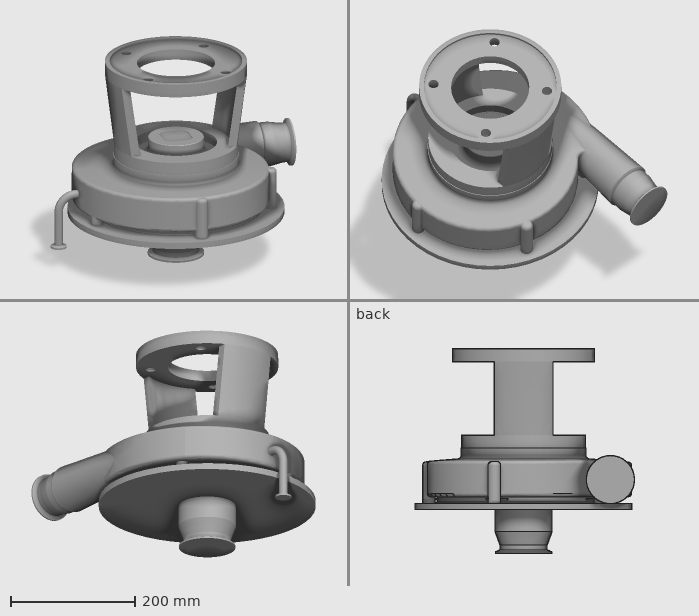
import cadquery as cq
import math

FULL_TURN = 360.0
QUARTER_ARC_INSET = 1 - math.sqrt(0.5)

PLATE_RADIUS = 175.0
PLATE_THICKNESS = 10.0

BACK_RADIUS = 174.0
BACK_START_ANGLE = 158.5
BACK_END_ANGLE = 219.5
FRONT_MIDDLE = (162.4, 283.0)
FRONT_END = (155.3, 360.0)
CUTWATER_MIDDLE = (151.0, 70.0)
CUTWATER_START = (142.0, 137.0)
CUTWATER_DIP = (-112.0, 93.5)
CUTWATER_END = (-121.0, 102.5)
CASING_BOTTOM_Z = 20.6
CASING_EDGE_FILLET = 5.5

CONE_INNER_RADIUS = 104.0
CONE_INNER_Z = 82.0
CONE_SLOPE = 0.083
CONE_OUTER_RADIUS = 200.0

POST_COUNT = 5
POST_RADIUS = 10.0
POST_CIRCLE_RADIUS = 152.5
TALL_POST_COUNT = 2
POST_TOP_DROP = 0.5
SHORT_POST_TOP_Z = 24.0

SPACER_RADIUS = 139.0
SPACER_LIP_RADIUS = 141.0
SPACER_LIP_TOP_Z = 12.3
PAD_WIDTH = 36.0
PAD_REACH = 141.0
PAD_DEPTH = 12.0
PAD_BOTTOM_Z = 15.4
PAD_TOP_Z = 18.0

COLLAR_RADIUS = 101.0
COLLAR_FLARE_Z = 88.0
COLLAR_FLARE = 5.0
COLLAR_TOP_Z = 99.5
SPIGOT_TOP_Z = 103.3

BOSS_RADIUS = 45.0
BOSS_TOP_Z = 130.0
BOSS_ROOT_FILLET = 9.3
BOSS_CHAMFER = 1.0
SOCKET_WIDTH = 48.0
SOCKET_CORNER_RADIUS = 14.0
SOCKET_DEPTH = 1.0

LANTERN_RADIUS = 100.0
LANTERN_RING_TOP_Z = 120.0
LANTERN_BORE_RADIUS = 66.3
FLANGE_BORE_RADIUS = 63.0
LEG_WIDTH = 95.0
LEG_THICKNESS = 12.5
FLANGE_RADIUS = 114.7
FLANGE_BOTTOM_Z = 238.0
FLANGE_TOP_Z = 259.5
RECESS_RADIUS = 107.0
RECESS_DEPTH = 4.0
BOLT_RADIUS = 8.2
BOLT_CIRCLE_RADIUS = 91.7
BOLT_COUNT = 4
BOLT_START_ANGLE = 45.0

SUCTION_RADIUS = 46.3
SUCTION_STRAIGHT_Z = -35.0
SUCTION_NECK_RADIUS = 38.2
SUCTION_NECK_TOP_Z = -57.0
SUCTION_NECK_BOTTOM_Z = -65.0
SUCTION_FLANGE_RADIUS = 45.6
SUCTION_FLANGE_TOP_Z = -68.0
SUCTION_BOTTOM_Z = -71.0

OUTLET_X = -140.0
OUTLET_Z = 48.3
CONE_START_Y = -4.0
CONE_START_RADIUS = 30.8
CONE_END_Y = 176.5
CONE_END_RADIUS = 38.89
OUTLET_RADIUS = 35.8
GROOVE_RADIUS = 34.6
GROOVE_BOTTOM_Y = 179.3
GROOVE_END_Y = 181.0
OUTLET_STRAIGHT_Y = 196.0
OUTLET_NECK_RADIUS = 32.2
OUTLET_NECK_START_Y = 215.5
OUTLET_NECK_END_Y = 223.5
OUTLET_FLANGE_RADIUS = 38.6
OUTLET_FLANGE_Y = 227.6
OUTLET_END_Y = 230.3

DRAIN_RADIUS = 6.8
DRAIN_Z = 47.0
DRAIN_BEND_RADIUS = 28.0
DRAIN_FOOT_RADIUS = 13.0
OVERALL_LENGTH = 439.7
DRAIN_Y = -(OVERALL_LENGTH - OUTLET_END_Y - DRAIN_FOOT_RADIUS)
DRAIN_START_Y = -150.0
DRAIN_BOTTOM_Z = -41.4
DRAIN_FOOT_THICKNESS = 3.0
DRAIN_FOOT_TAPER = 1.8


def polar(radius, degrees):
    angle = math.radians(degrees)
    return (radius * math.cos(angle), radius * math.sin(angle))


def cylinder(radius, bottom_z, top_z):
    return cq.Workplane("XY").workplane(offset=bottom_z).circle(radius).extrude(top_z - bottom_z)


def revolved(profile):
    """Solid of revolution about Z from (radius, z) corner points."""
    return cq.Workplane("XZ").polyline(profile).close().revolve(FULL_TURN, (0, 0), (0, 1))


def cone_z(radius):
    return CONE_INNER_Z - CONE_SLOPE * (radius - CONE_INNER_RADIUS)


def under_cone(block, drop=0.0):
    """Trim a block with the top cone, lowered by drop, and round the rim this leaves."""
    envelope = revolved([
        (0, 0),
        (CONE_OUTER_RADIUS, 0),
        (CONE_OUTER_RADIUS, cone_z(CONE_OUTER_RADIUS) - drop),
        (0, cone_z(0) - drop),
    ])
    return block.intersect(envelope).faces("%CONE").edges().fillet(CASING_EDGE_FILLET)


def make_post(i, top_z):
    x, y = polar(POST_CIRCLE_RADIUS, i * FULL_TURN / POST_COUNT)
    return cylinder(POST_RADIUS, PLATE_THICKNESS, top_z).translate((x, y, 0))


def make_casing():
    back_middle_angle = (BACK_START_ANGLE + BACK_END_ANGLE) / 2
    volute = (
        cq.Workplane("XY")
        .workplane(offset=CASING_BOTTOM_Z)
        .moveTo(*polar(BACK_RADIUS, BACK_START_ANGLE))
        .threePointArc(polar(BACK_RADIUS, back_middle_angle), polar(BACK_RADIUS, BACK_END_ANGLE))
        .threePointArc(polar(*FRONT_MIDDLE), polar(*FRONT_END))
        .threePointArc(polar(*CUTWATER_MIDDLE), polar(*CUTWATER_START))
        .threePointArc(CUTWATER_DIP, CUTWATER_END)
        .close()
        .extrude(CONE_INNER_Z)
        .faces("<Z")
        .edges()
        .fillet(CASING_EDGE_FILLET)
    )
    casing = under_cone(volute)
    for i in range(TALL_POST_COUNT):
        casing = casing.union(under_cone(make_post(i, CONE_INNER_Z), POST_TOP_DROP))
    return casing


def make_base():
    base = cylinder(PLATE_RADIUS, 0, PLATE_THICKNESS)
    base = base.union(cylinder(SPACER_RADIUS, PLATE_THICKNESS, CASING_BOTTOM_Z))
    base = base.union(cylinder(SPACER_LIP_RADIUS, PLATE_THICKNESS, SPACER_LIP_TOP_Z))
    for i in range(POST_COUNT):
        pad = (
            cq.Workplane("XY")
            .box(PAD_DEPTH, PAD_WIDTH, PAD_TOP_Z - PAD_BOTTOM_Z, centered=(False, True, False))
            .translate((PAD_REACH - PAD_DEPTH, 0, PAD_BOTTOM_Z))
            .rotate((0, 0, 0), (0, 0, 1), i * FULL_TURN / POST_COUNT)
        )
        base = base.union(pad)
    for i in range(TALL_POST_COUNT, POST_COUNT):
        base = base.union(make_post(i, SHORT_POST_TOP_Z))
    return base


def make_collar():
    flare_radius = COLLAR_RADIUS + COLLAR_FLARE
    bulge = QUARTER_ARC_INSET * COLLAR_FLARE
    boss_root_z = SPIGOT_TOP_Z + BOSS_ROOT_FILLET
    root_inset = BOSS_ROOT_FILLET * QUARTER_ARC_INSET
    collar = (
        cq.Workplane("XZ")
        .moveTo(0, CASING_BOTTOM_Z)
        .lineTo(flare_radius, CASING_BOTTOM_Z)
        .lineTo(flare_radius, cone_z(flare_radius))
        .threePointArc((COLLAR_RADIUS + bulge, cone_z(flare_radius) + bulge), (COLLAR_RADIUS, COLLAR_FLARE_Z))
        .lineTo(COLLAR_RADIUS, COLLAR_TOP_Z)
        .lineTo(LANTERN_BORE_RADIUS, COLLAR_TOP_Z)
        .lineTo(LANTERN_BORE_RADIUS, SPIGOT_TOP_Z)
        .lineTo(BOSS_RADIUS + BOSS_ROOT_FILLET, SPIGOT_TOP_Z)
        .threePointArc((BOSS_RADIUS + root_inset, SPIGOT_TOP_Z + root_inset), (BOSS_RADIUS, boss_root_z))
        .lineTo(BOSS_RADIUS, BOSS_TOP_Z - BOSS_CHAMFER)
        .lineTo(BOSS_RADIUS - BOSS_CHAMFER, BOSS_TOP_Z)
        .lineTo(0, BOSS_TOP_Z)
        .close()
        .revolve(FULL_TURN, (0, 0), (0, 1))
    )
    socket = (
        cq.Workplane("XY")
        .workplane(offset=BOSS_TOP_Z - SOCKET_DEPTH)
        .rect(SOCKET_WIDTH, SOCKET_WIDTH)
        .extrude(SOCKET_DEPTH)
        .edges("|Z")
        .fillet(SOCKET_CORNER_RADIUS)
    )
    return collar.cut(socket)


def make_lantern():
    ring = cylinder(LANTERN_RADIUS, COLLAR_TOP_Z, LANTERN_RING_TOP_Z)
    ring = ring.cut(cylinder(LANTERN_BORE_RADIUS, COLLAR_TOP_Z, LANTERN_RING_TOP_Z))
    flange = cylinder(FLANGE_RADIUS, FLANGE_BOTTOM_Z, FLANGE_TOP_Z)
    flared_wall = revolved([
        (LANTERN_RADIUS - LEG_THICKNESS, LANTERN_RING_TOP_Z),
        (LANTERN_RADIUS, LANTERN_RING_TOP_Z),
        (FLANGE_RADIUS, FLANGE_BOTTOM_Z),
        (FLANGE_RADIUS - LEG_THICKNESS, FLANGE_BOTTOM_Z),
    ])
    slab_depth = 2 * FLANGE_RADIUS
    leg_slab = cq.Workplane("XY").box(LEG_WIDTH, slab_depth, FLANGE_TOP_Z, centered=(True, True, False))
    lantern = ring.union(flange).union(flared_wall.intersect(leg_slab))
    lantern = lantern.cut(cylinder(FLANGE_BORE_RADIUS, FLANGE_BOTTOM_Z, FLANGE_TOP_Z))
    lantern = lantern.cut(cylinder(RECESS_RADIUS, FLANGE_TOP_Z - RECESS_DEPTH, FLANGE_TOP_Z))
    bolts = (
        cq.Workplane("XY")
        .workplane(offset=FLANGE_BOTTOM_Z)
        .polarArray(BOLT_CIRCLE_RADIUS, BOLT_START_ANGLE, FULL_TURN, BOLT_COUNT)
        .circle(BOLT_RADIUS)
        .extrude(FLANGE_TOP_Z - FLANGE_BOTTOM_Z)
    )
    return lantern.cut(bolts)


def make_suction():
    return revolved([
        (0, 0),
        (SUCTION_RADIUS, 0),
        (SUCTION_RADIUS, SUCTION_STRAIGHT_Z),
        (SUCTION_NECK_RADIUS, SUCTION_NECK_TOP_Z),
        (SUCTION_NECK_RADIUS, SUCTION_NECK_BOTTOM_Z),
        (SUCTION_FLANGE_RADIUS, SUCTION_FLANGE_TOP_Z),
        (SUCTION_FLANGE_RADIUS, SUCTION_BOTTOM_Z),
        (0, SUCTION_BOTTOM_Z),
    ])


def make_outlet():
    profile = [
        (0, CONE_START_Y),
        (CONE_START_RADIUS, CONE_START_Y),
        (CONE_END_RADIUS, CONE_END_Y),
        (GROOVE_RADIUS, GROOVE_BOTTOM_Y),
        (OUTLET_RADIUS, GROOVE_END_Y),
        (OUTLET_RADIUS, OUTLET_STRAIGHT_Y),
        (OUTLET_NECK_RADIUS, OUTLET_NECK_START_Y),
        (OUTLET_NECK_RADIUS, OUTLET_NECK_END_Y),
        (OUTLET_FLANGE_RADIUS, OUTLET_FLANGE_Y),
        (OUTLET_FLANGE_RADIUS, OUTLET_END_Y),
        (0, OUTLET_END_Y),
    ]
    return revolved(profile).rotate((0, 0, 0), (1, 0, 0), -90).translate((OUTLET_X, 0, OUTLET_Z))


def make_drain():
    bend_start_y = DRAIN_Y + DRAIN_BEND_RADIUS
    bend_end_z = DRAIN_Z - DRAIN_BEND_RADIUS
    diagonal = DRAIN_BEND_RADIUS * (1 - QUARTER_ARC_INSET)
    path = (
        cq.Workplane("YZ")
        .moveTo(DRAIN_START_Y, DRAIN_Z)
        .lineTo(bend_start_y, DRAIN_Z)
        .threePointArc((bend_start_y - diagonal, bend_end_z + diagonal), (DRAIN_Y, bend_end_z))
        .lineTo(DRAIN_Y, DRAIN_BOTTOM_Z)
    )
    pipe = cq.Workplane("XZ", origin=(0, DRAIN_START_Y, DRAIN_Z)).circle(DRAIN_RADIUS).sweep(path)
    rim_z = DRAIN_BOTTOM_Z + DRAIN_FOOT_THICKNESS
    foot = revolved([
        (0, DRAIN_BOTTOM_Z),
        (DRAIN_FOOT_RADIUS, DRAIN_BOTTOM_Z),
        (DRAIN_FOOT_RADIUS, rim_z),
        (DRAIN_RADIUS, rim_z + DRAIN_FOOT_TAPER),
        (0, rim_z + DRAIN_FOOT_TAPER),
    ])
    return pipe.union(foot.translate((0, DRAIN_Y, 0)))


result = make_casing()
for portion in (make_outlet(), make_base(), make_collar(), make_lantern(), make_suction(), make_drain()):
    result = result.union(portion)